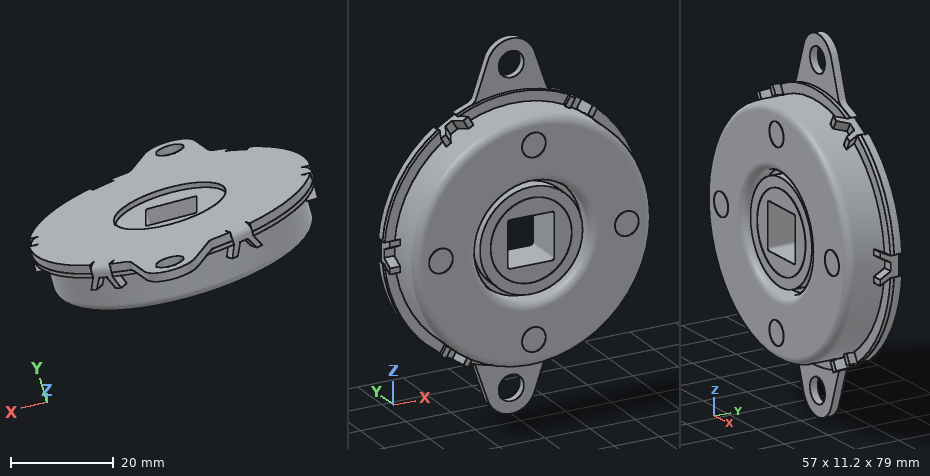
import cadquery as cq
import math

TOTAL_LENGTH = 79.0
TOTAL_DEPTH = 11.2
TOTAL_WIDTH = 56.95
PLATE_RADIUS = TOTAL_WIDTH / 2

PLATE_THICKNESS = 1.8
EAR_COUNT = 2
EAR_END_RADIUS = 5.45
EAR_HOLE_RADIUS = 2.8
EAR_HOLE_OFFSET = TOTAL_LENGTH / 2 - EAR_END_RADIUS
EAR_TAPER = math.radians(19)
EAR_BASE_FILLET = 2.0

FLANGE_THICKNESS = 0.9
FLANGE_FRONT = PLATE_THICKNESS + FLANGE_THICKNESS
FLANGE_RADIUS = 28.45
CAP_RADIUS = 26.2
CAP_FILLET = 1.7
RECESS_RADIUS = 12.5
RECESS_DEPTH = 4.0
RECESS_FLOOR = TOTAL_DEPTH - RECESS_DEPTH

RIVET_COUNT = 4
RIVET_RADIUS = 2.6
RIVET_CIRCLE_RADIUS = 20.5
SHALLOW_STEP = 0.1

TAB_COUNT = 6
TAB_DEPTH = 5.1
TAB_WIDTH = 4.6
TAB_SPREAD = 6.95
TAB_THICKNESS = PLATE_RADIUS - CAP_RADIUS
ARM_TIP_WIDTH = 1.3
CROTCH_WIDTH = 1.7

ROTOR_RADIUS = 11.3
ROTOR_SETBACK = 1.1
ROTOR_REAR = ROTOR_SETBACK
ROTOR_FRONT = TOTAL_DEPTH - ROTOR_SETBACK
ROTOR_FACE_RADIUS = 8.9
SQUARE_SIDE = 10.3
SQUARE_CORNER = 0.6


def disc(radius, start, end):
    """Cylinder about the Y axis between two depths."""
    return cq.Workplane("XZ").workplane(offset=start).circle(radius).extrude(end - start)


def around_axis(shape, count):
    """Evenly spaced copies of a shape, turned about the Y axis."""
    return [shape.rotate((0, 0, 0), (0, 1, 0), i * 360 / count) for i in range(count)]


def ear():
    """Ear pointing to +Z, with its sides tangent to its round end."""
    tangent_x = EAR_END_RADIUS * math.cos(EAR_TAPER)
    tangent_z = EAR_HOLE_OFFSET + EAR_END_RADIUS * math.sin(EAR_TAPER)
    root_z = PLATE_RADIUS / 2
    root_x = tangent_x + (tangent_z - root_z) * math.tan(EAR_TAPER)
    return (
        cq.Workplane("XZ")
        .moveTo(-root_x, root_z)
        .lineTo(-tangent_x, tangent_z)
        .threePointArc((0, TOTAL_LENGTH / 2), (tangent_x, tangent_z))
        .lineTo(root_x, root_z)
        .close()
        .extrude(PLATE_THICKNESS)
    )


def make_plate():
    """Disc with two ears, filleted where the ears leave the disc."""
    plate = disc(PLATE_RADIUS, 0, PLATE_THICKNESS)
    for plate_ear in around_axis(ear(), EAR_COUNT):
        plate = plate.union(plate_ear)
    ear_roots = cq.selectors.BoxSelector(
        (-PLATE_RADIUS / 2, -PLATE_THICKNESS, -PLATE_RADIUS),
        (PLATE_RADIUS / 2, 0, PLATE_RADIUS),
    )
    plate = plate.edges("|Y").edges(ear_roots).fillet(EAR_BASE_FILLET)
    ear_hole = disc(EAR_HOLE_RADIUS, 0, PLATE_THICKNESS).translate((0, 0, EAR_HOLE_OFFSET))
    for hole in around_axis(ear_hole, EAR_COUNT):
        plate = plate.cut(hole)
    return plate


def make_cap():
    """Round cap with a flange, a rounded rim and a rounded recess around the rotor."""
    cap = disc(CAP_RADIUS, PLATE_THICKNESS, TOTAL_DEPTH)
    cap = cap.cut(disc(RECESS_RADIUS, RECESS_FLOOR, TOTAL_DEPTH))
    cap = cap.faces("<Y").edges().fillet(CAP_FILLET)
    rivet = disc(RIVET_RADIUS, TOTAL_DEPTH - SHALLOW_STEP, TOTAL_DEPTH)
    for rivet_end in around_axis(rivet.translate((RIVET_CIRCLE_RADIUS, 0, 0)), RIVET_COUNT):
        cap = cap.cut(rivet_end)
    flange = disc(FLANGE_RADIUS, PLATE_THICKNESS, FLANGE_FRONT)
    return cap.union(flange)


def rim_notch():
    """Block at +X, as wide as a tab, that clears plate and flange for the tab."""
    notch = cq.Workplane("XY").box(TAB_THICKNESS, FLANGE_FRONT, TAB_WIDTH, centered=(False, False, True))
    return notch.translate((CAP_RADIUS, -FLANGE_FRONT, 0))


def tab():
    """Tab at +X, bent forward out of the plate and split into two spread arms."""
    half_width = TAB_WIDTH / 2
    half_spread = TAB_SPREAD / 2
    half_gap = half_spread - ARM_TIP_WIDTH
    half_crotch = CROTCH_WIDTH / 2
    fork = (
        cq.Workplane("YZ", origin=(CAP_RADIUS, 0, 0))
        .moveTo(0, -half_width)
        .lineTo(-FLANGE_FRONT, -half_width)
        .lineTo(-TAB_DEPTH, -half_spread)
        .lineTo(-TAB_DEPTH, -half_gap)
        .lineTo(-FLANGE_FRONT, -half_crotch)
        .lineTo(-FLANGE_FRONT, half_crotch)
        .lineTo(-TAB_DEPTH, half_gap)
        .lineTo(-TAB_DEPTH, half_spread)
        .lineTo(-FLANGE_FRONT, half_width)
        .lineTo(0, half_width)
        .close()
        .extrude(TAB_THICKNESS)
    )
    outer_bend = fork.faces(">X").edges(">Y")
    return outer_bend.fillet(PLATE_THICKNESS)


def make_housing():
    """Plate and cap joined by the tabs, with a through bore for the rotor."""
    housing = make_plate().union(make_cap())
    for notch in around_axis(rim_notch(), TAB_COUNT):
        housing = housing.cut(notch)
    for rim_tab in around_axis(tab(), TAB_COUNT):
        housing = housing.union(rim_tab)
    return housing.cut(disc(ROTOR_RADIUS, 0, TOTAL_DEPTH))


def make_rotor():
    """Round rotor with a square drive hole and a shallow round step in its front face."""
    rotor = disc(ROTOR_RADIUS, ROTOR_REAR, ROTOR_FRONT)
    rotor = rotor.cut(disc(ROTOR_FACE_RADIUS, ROTOR_FRONT - SHALLOW_STEP, ROTOR_FRONT))
    drive_hole = cq.Workplane("XZ").rect(SQUARE_SIDE, SQUARE_SIDE).extrude(TOTAL_DEPTH)
    return rotor.cut(drive_hole.edges("|Y").fillet(SQUARE_CORNER))


housing = make_housing()
rotor = make_rotor()
result = cq.Compound.makeCompound([housing.solids().val(), rotor.solids().val()])